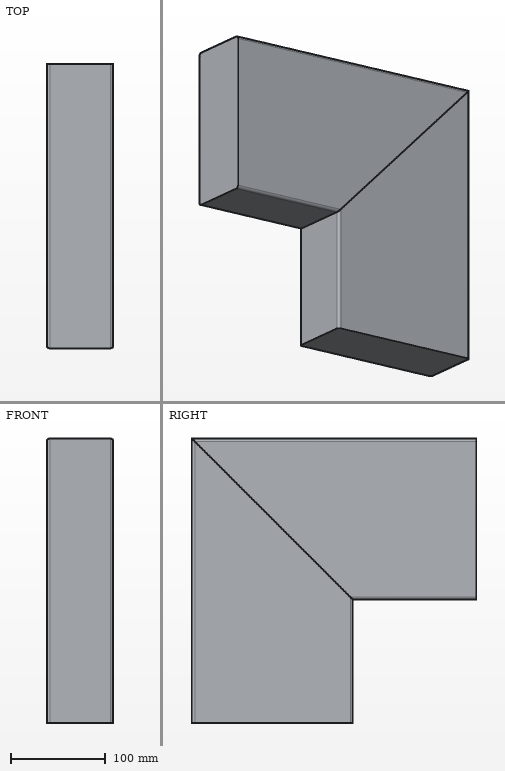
import cadquery as cq

THICKNESS = 70.0
LEG_LENGTH = 300.0
LEG_WIDTH = 170.0
EDGE_RADIUS = 3.0

CORNER_Y = 0.0
CORNER_Z = LEG_LENGTH


def vertical_leg():
    """Leg running down from the corner, its top end cut at 45 degrees by the mitre."""
    bar = (
        cq.Workplane("XY")
        .box(THICKNESS, LEG_WIDTH, LEG_LENGTH, centered=(True, False, False))
        .edges("|Z")
        .fillet(EDGE_RADIUS)
    )
    corner_waste = (
        cq.Workplane("YZ")
        .moveTo(CORNER_Y, CORNER_Z)
        .line(LEG_WIDTH, -LEG_WIDTH)
        .line(0, LEG_WIDTH)
        .close()
        .extrude(THICKNESS / 2, both=True)
    )
    return bar.cut(corner_waste)


def horizontal_leg():
    """Leg running toward +Y: the vertical leg mirrored across the mitre plane."""
    corner = (0, CORNER_Y, CORNER_Z)
    return (
        vertical_leg()
        .mirror("XY", corner)
        .rotate(corner, (1, CORNER_Y, CORNER_Z), -90)
    )


lower_leg = vertical_leg()
upper_leg = horizontal_leg()

result = cq.Compound.makeCompound([lower_leg.val(), upper_leg.val()])